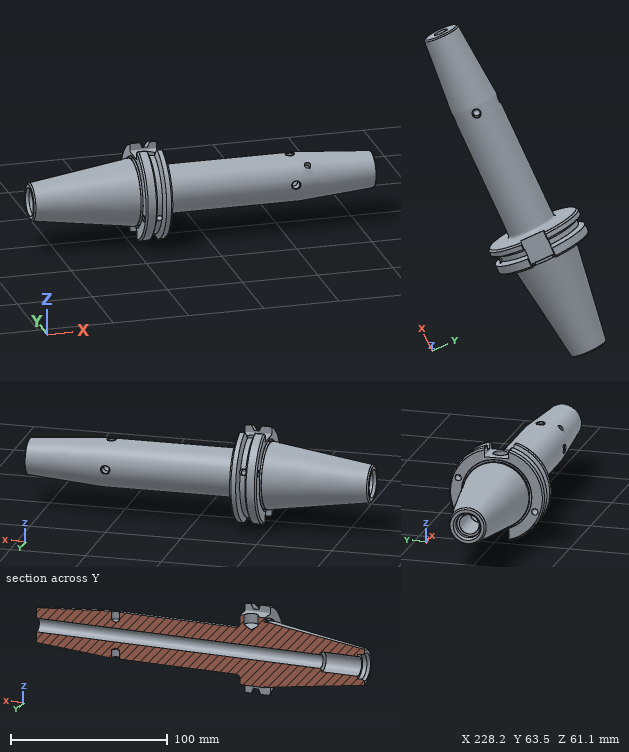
import cadquery as cq
import math

total_length = 228.2
flange_start = 69.2
flange_end = 87.0
nose_start = 177.8

gauge_x = 68.2
gauge_diameter = 44.5
taper_slope = 7 / 24 / 2
rear_chamfer = 1.0
neck_diameter = 43.8

flange_diameter = 63.5
flange_rim_length = 1.1
flange_rim_drop = 1.1
recess_diameter = 46.8
recess_depth = 1.0
groove_start = 75.8
groove_end = 82.6
groove_diameter = 56.1
groove_flank_angle = 25

slot_width = 16.2
slot_edge_chamfer = 0.5
slot_corner_fillet = 0.5
upper_slot_floor = 24.9
lower_slot_floor = 22.5
dimple_diameter = 9.5
dimple_depth = 6.5

body_diameter = 32.0
body_fillet = 2.7
nose_tip_diameter = 24.2
nose_chamfer = 1.0

mouth_diameter = 18.5
mouth_depth = 2.0
counterbore_diameter = 16.2
counterbore_depth = 5.0
thread_diameter = 13.0
thread_depth = 29.7
through_diameter = 9.0

drill_point_angle = 118
drill_clearance = 2.3
screw_hole_diameter = 5.0
screw_hole_depth = 5.7
screw_hole_x = 173.2
screw_hole_count = 4
countersink_diameter = 6.2
countersink_depth = 0.7
nose_hole_diameter = 4.0
nose_hole_depth = 4.5
nose_hole_x = 182.1
nose_hole_angle = 135
coolant_hole_diameter = 4.0
coolant_circle_diameter = 54.3
coolant_angle = 20
cross_hole_diameter = 4.0
cross_hole_depth = 4.5

flange_radius = flange_diameter / 2
body_radius = body_diameter / 2
groove_radius = groove_diameter / 2
groove_x = (groove_start + groove_end) / 2


def revolve_about_x(sketch):
    return sketch.close().revolve(360, (0, 0), (1, 0))


def drill_point_length(radius):
    return radius / math.tan(math.radians(drill_point_angle / 2))


def drill(diameter, depth):
    """Cutter for a pointed blind hole, going up Z; it also clears the space below Z = 0."""
    radius = diameter / 2
    tip = depth + drill_point_length(radius)
    profile = [(0, -drill_clearance), (radius, -drill_clearance), (radius, depth), (0, tip)]
    return cq.Workplane("XZ").polyline(profile).close().revolve(360, (0, 0), (0, 1))


def aim_at_axis(cutter, x, surface_radius, angle):
    """Turn a cutter towards the X axis; the angle runs from +Y towards +Z."""
    y = math.cos(math.radians(angle))
    z = math.sin(math.radians(angle))
    entry = cq.Plane((x, surface_radius * y, surface_radius * z), (1, 0, 0), (0, -y, -z))
    return cutter.val().moved(entry.location)


def turned_body():
    gauge_radius = gauge_diameter / 2
    rear_radius = gauge_radius - taper_slope * gauge_x
    neck_radius = neck_diameter / 2
    recess_radius = recess_diameter / 2
    recess_floor = flange_start + recess_depth
    rim_radius = flange_radius - flange_rim_drop
    flank = (flange_radius - groove_radius) * math.tan(math.radians(groove_flank_angle))
    fillet_mid = body_fillet * (1 - math.sqrt(0.5))
    nose_radius = nose_tip_diameter / 2
    return revolve_about_x(
        cq.Workplane("XY")
        .moveTo(0, 0)
        .lineTo(0, rear_radius - rear_chamfer)
        .lineTo(rear_chamfer, rear_radius + taper_slope * rear_chamfer)
        .lineTo(gauge_x, gauge_radius)
        .lineTo(gauge_x, neck_radius)
        .lineTo(recess_floor, neck_radius)
        .lineTo(recess_floor, recess_radius)
        .lineTo(flange_start, recess_radius)
        .lineTo(flange_start, rim_radius)
        .lineTo(flange_start + flange_rim_length, flange_radius)
        .lineTo(groove_start, flange_radius)
        .lineTo(groove_start + flank, groove_radius)
        .lineTo(groove_end - flank, groove_radius)
        .lineTo(groove_end, flange_radius)
        .lineTo(flange_end - flange_rim_length, flange_radius)
        .lineTo(flange_end, rim_radius)
        .lineTo(flange_end, body_radius + body_fillet)
        .threePointArc(
            (flange_end + fillet_mid, body_radius + fillet_mid),
            (flange_end + body_fillet, body_radius),
        )
        .lineTo(nose_start, body_radius)
        .lineTo(total_length - nose_chamfer, nose_radius)
        .lineTo(total_length, nose_radius - nose_chamfer)
        .lineTo(total_length, 0)
    )


def stepped_bore():
    counterbore_radius = counterbore_diameter / 2
    thread_radius = thread_diameter / 2
    through_radius = through_diameter / 2
    cone_end = thread_depth + drill_point_length(thread_radius - through_radius)
    profile = [
        (0, 0),
        (0, mouth_diameter / 2),
        (mouth_depth, counterbore_radius),
        (counterbore_depth, counterbore_radius),
        (counterbore_depth, thread_radius),
        (thread_depth, thread_radius),
        (cone_end, through_radius),
        (total_length, through_radius),
        (total_length, 0),
    ]
    return revolve_about_x(cq.Workplane("XY").polyline(profile))


def drive_slot(floor, side):
    """Slot through the flange, flared at the rim; side is +1 for the top and -1 for the bottom."""
    length = flange_end - flange_start
    half_width = slot_width / 2
    chamfer_y = half_width + slot_edge_chamfer
    chamfer_z = math.sqrt(flange_radius**2 - chamfer_y**2)
    wall_top = chamfer_z - slot_edge_chamfer
    flare = flange_radius - wall_top
    profile = [
        (-half_width, floor),
        (half_width, floor),
        (half_width, wall_top),
        (half_width + flare, flange_radius),
        (-half_width - flare, flange_radius),
        (-half_width, wall_top),
    ]
    slot = cq.Workplane("YZ", (flange_start, 0, 0)).polyline(profile).close().extrude(length)
    slot = slot.faces("<Z").edges("|X").fillet(slot_corner_fillet)
    return slot if side > 0 else slot.mirror("XY")


def countersunk_drill():
    radius = screw_hole_diameter / 2
    sink_radius = countersink_diameter / 2
    profile = [
        (0, -drill_clearance),
        (sink_radius, -drill_clearance),
        (sink_radius, 0),
        (radius, countersink_depth),
        (radius, screw_hole_depth),
        (0, screw_hole_depth + drill_point_length(radius)),
    ]
    return cq.Workplane("XZ").polyline(profile).close().revolve(360, (0, 0), (0, 1))


def coolant_hole(angle):
    """Hole along X from the rear flange face to the middle of the V groove."""
    y = coolant_circle_diameter / 2 * math.cos(math.radians(angle))
    z = coolant_circle_diameter / 2 * math.sin(math.radians(angle))
    entry = cq.Plane((flange_start, y, z), (0, 1, 0), (1, 0, 0))
    cutter = drill(coolant_hole_diameter, groove_x - flange_start)
    return cutter.val().moved(entry.location)


result = turned_body().cut(stepped_bore())

result = result.cut(drive_slot(upper_slot_floor, 1))
result = result.cut(drive_slot(lower_slot_floor, -1))
dimple = drill(dimple_diameter, dimple_depth)
result = result.cut(aim_at_axis(dimple, groove_x, upper_slot_floor, 90))

for index in range(screw_hole_count):
    screw_angle = index * 360 / screw_hole_count
    result = result.cut(aim_at_axis(countersunk_drill(), screw_hole_x, body_radius, screw_angle))

nose_hole = drill(nose_hole_diameter, nose_hole_depth)
result = result.cut(aim_at_axis(nose_hole, nose_hole_x, body_radius, nose_hole_angle))

for angle in (coolant_angle, coolant_angle + 180):
    cross_hole = drill(cross_hole_diameter, cross_hole_depth)
    result = result.cut(coolant_hole(angle))
    result = result.cut(aim_at_axis(cross_hole, groove_x, groove_radius, angle))